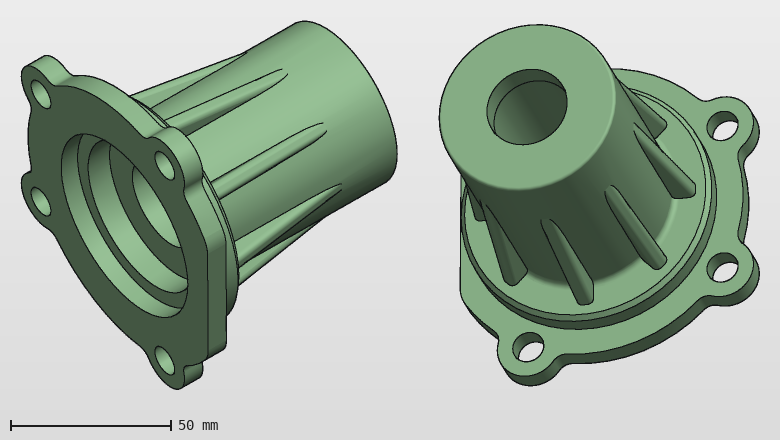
import cadquery as cq
import math

total_length = 86.3
total_height = 108.8

flange_thickness = 7.3
flange_radius = 49.0
lug_radius = 10.0
lug_hole_radius = 5.0
lug_angles = (65.3, 150, -150, -65.3)
lug_circle_radius = (total_height / 2 - lug_radius) / math.sin(math.radians(lug_angles[0]))
touch_tolerance = 0.01
lug_fillet = 4.6
flat_top_x = 42.1
flat_bottom_x = 42.4
flat_corner_fillet = 10.0

hub_radius = 40.5
hub_top = 14.9
hub_chamfer = 1.5
barrel_radius = 28.6
barrel_end_fillet = 1.0
barrel_base_fillet = 2.0

rib_count = 8
rib_width = 5.4
rib_edge_fillet = 2.0
rib_base_radius = 35.7
rib_tip_height = 64.1

seat_radius = 32.1
seat_depth = 6.5
pocket_radius = 26.8
pocket_bottom = 15.0
bore_radius = 15.2
lip_radius = 12.9
lip_thickness = 8.7


def cylinder(radius, start, end):
    """A cylinder on the Y axis from Y = start to Y = end."""
    return cq.Workplane("XZ", origin=(0, start, 0)).circle(radius).extrude(start - end)


def lug_center(angle):
    """Where a lug lies, as (x, z)."""
    turn = math.radians(angle)
    return lug_circle_radius * math.cos(turn), lug_circle_radius * math.sin(turn)


def edges_along_axis(body, inside):
    """The edges along Y whose middle satisfies the given test on (x, z)."""
    edges = body.edges("|Y").vals()
    return body.newObject([e for e in edges if inside(e.Center().x, e.Center().z)])


def make_flange():
    disc = cylinder(flange_radius, 0, flange_thickness)

    reach = 2 * flange_radius
    lean = (flat_bottom_x - flat_top_x) / flange_radius
    middle_x = (flat_top_x + flat_bottom_x) / 2
    keep = (
        cq.Workplane("XZ")
        .polyline([
            (-reach, -reach),
            (middle_x + lean * reach, -reach),
            (middle_x - lean * reach, reach),
            (-reach, reach),
        ])
        .close()
        .extrude(-flange_thickness)
    )
    disc = disc.intersect(keep)
    disc = edges_along_axis(disc, lambda x, z: x > flange_radius / 2).fillet(flat_corner_fillet)

    centers = [lug_center(angle) for angle in lug_angles]
    lugs = cq.Workplane("XZ").pushPoints(centers).circle(lug_radius).extrude(-flange_thickness)
    flange = disc.union(lugs)

    def at_lug_root(x, z):
        on_disc = abs(math.hypot(x, z) - flange_radius) < touch_tolerance
        on_lug = any(abs(math.hypot(x - cx, z - cz) - lug_radius) < touch_tolerance for cx, cz in centers)
        return on_disc and on_lug

    flange = edges_along_axis(flange, at_lug_root).fillet(lug_fillet)
    holes = cq.Workplane("XZ").pushPoints(centers).circle(lug_hole_radius).extrude(-flange_thickness)
    return flange.cut(holes)


def make_hub_and_barrel():
    """Solid of revolution: chamfered hub, fillet at the barrel root, rounded barrel end."""
    return (
        cq.Workplane("XY")
        .lineTo(hub_radius, 0)
        .lineTo(hub_radius, hub_top - hub_chamfer)
        .lineTo(hub_radius - hub_chamfer, hub_top)
        .lineTo(barrel_radius + barrel_base_fillet, hub_top)
        .radiusArc((barrel_radius, hub_top + barrel_base_fillet), barrel_base_fillet)
        .lineTo(barrel_radius, total_length - barrel_end_fillet)
        .radiusArc((barrel_radius - barrel_end_fillet, total_length), -barrel_end_fillet)
        .lineTo(0, total_length)
        .close()
        .revolve(360, (0, 0, 0), (0, 1, 0))
    )


def make_rib():
    """Sloping rib on the +X side with both crest edges rounded."""
    slope = (rib_base_radius - barrel_radius) / (rib_tip_height - hub_top)
    base = hub_top - hub_chamfer
    tip = total_length - barrel_end_fillet

    def crest(height):
        return barrel_radius + slope * (rib_tip_height - height)

    return (
        cq.Workplane("XY")
        .polyline([(bore_radius, base), (crest(base), base), (crest(tip), tip), (bore_radius, tip)])
        .close()
        .extrude(rib_width / 2, both=True)
        .faces(">X")
        .edges("not |Z")
        .fillet(rib_edge_fillet)
    )


def make_stepped_bore():
    lip_start = total_length - lip_thickness
    return (
        cylinder(seat_radius, 0, seat_depth)
        .union(cylinder(pocket_radius, 0, pocket_bottom))
        .union(cylinder(bore_radius, 0, lip_start))
        .union(cylinder(lip_radius, 0, total_length))
    )


body = make_flange().union(make_hub_and_barrel())
rib = make_rib()
for index in range(rib_count):
    body = body.union(rib.rotate((0, 0, 0), (0, 1, 0), index * 360 / rib_count))
result = body.cut(make_stepped_bore())